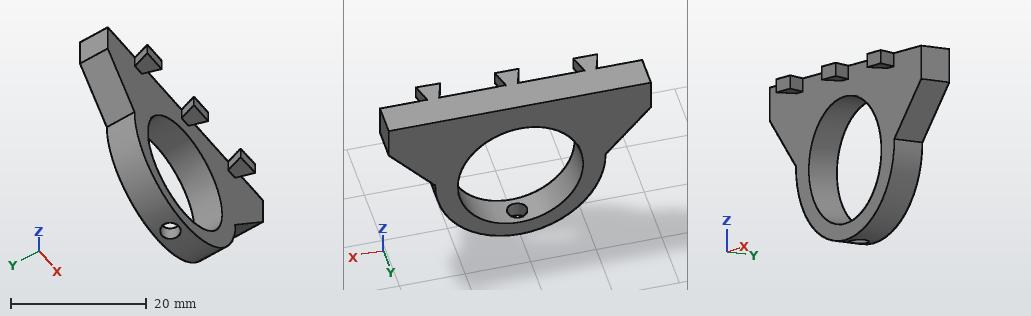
import cadquery as cq
import math

plate_width = 40.0
plate_thickness = 5.0
half_width = plate_width / 2
shoulder_height = 5.0

ring_x = -0.1
ring_radius = 13.0
ring_center_z = -ring_radius
flank_end_z = -12.9

bore_diameter = 19.1
bore_center_z = -14.0

screw_hole_diameter = 3.0
screw_hole_x = -0.25

key_pitch = 12.0
key_height = 2.0
key_length = 2.9
key_neck_width = 1.8
key_head_width = 3.7
end_key_extra_length = 0.08


def make_plate():
    """Bracket outline: straight top, sloping flanks and a round bottom."""
    flank_rise = flank_end_z - ring_center_z
    flank_reach = math.sqrt(ring_radius**2 - flank_rise**2)
    return (
        cq.Workplane("XZ")
        .moveTo(-half_width, 0)
        .lineTo(half_width, 0)
        .lineTo(half_width, -shoulder_height)
        .lineTo(ring_x + flank_reach, flank_end_z)
        .threePointArc(
            (ring_x, ring_center_z - ring_radius),
            (ring_x - flank_reach, flank_end_z),
        )
        .lineTo(-half_width, -shoulder_height)
        .close()
        .extrude(-plate_thickness)
    )


def make_bore():
    return (
        cq.Workplane("XZ")
        .center(ring_x, bore_center_z)
        .circle(bore_diameter / 2)
        .extrude(-plate_thickness)
    )


def make_screw_hole():
    return (
        cq.Workplane("XY", origin=(screw_hole_x, plate_thickness / 2, bore_center_z))
        .circle(screw_hole_diameter / 2)
        .extrude(-ring_radius)
    )


def make_key(center_x, extra_length=0.0):
    """Dovetail key; extra_length moves the right head corner further forward."""
    return (
        cq.Workplane("XY")
        .polyline(
            [
                (center_x - key_neck_width / 2, 0),
                (center_x - key_head_width / 2, -key_length),
                (center_x + key_head_width / 2, -key_length - extra_length),
                (center_x + key_neck_width / 2, 0),
            ]
        )
        .close()
        .extrude(-key_height)
    )


result = make_plate().cut(make_bore()).cut(make_screw_hole())
for position in (-1, 0):
    result = result.union(make_key(ring_x + position * key_pitch))
result = result.union(make_key(ring_x + key_pitch, end_key_extra_length))